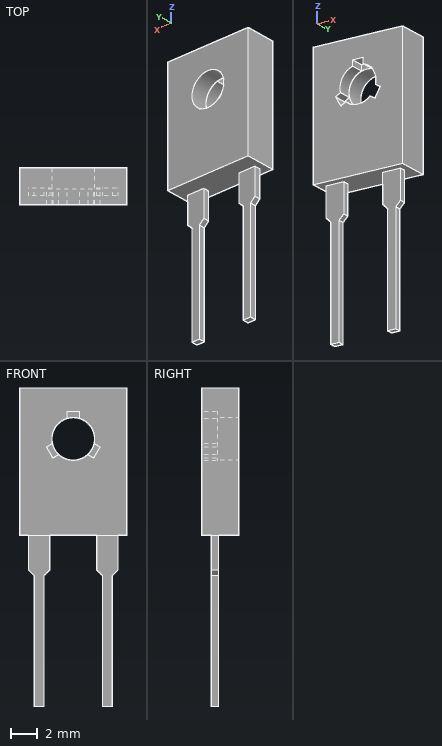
import cadquery as cq

BODY_WIDTH = 8.0
BODY_THICKNESS = 2.79
TOTAL_HEIGHT = 23.75
LEAD_LENGTH = 12.75
BODY_HEIGHT = TOTAL_HEIGHT - LEAD_LENGTH

HOLE_FROM_TOP = 3.8
HOLE_Z = BODY_HEIGHT - HOLE_FROM_TOP
FRONT_HOLE_DIAMETER = 3.2
REAR_HOLE_DIAMETER = 3.16
FRONT_DEPTH = 1.2

NOTCH_COUNT = 3
NOTCH_WIDTH = 0.95
NOTCH_REACH = 2.03

LEAD_PITCH = 5.08
LEAD_THICKNESS = 0.56
LEAD_FRONT_Y = 0.72
SHOULDER_WIDTH = 1.6
SHOULDER_LENGTH = 2.57
TAIL_WIDTH = 0.75
TAPER_LENGTH = (SHOULDER_WIDTH - TAIL_WIDTH) / 2


def make_body():
    return cq.Workplane("XY").box(
        BODY_WIDTH, BODY_THICKNESS, BODY_HEIGHT, centered=(True, False, False)
    )


def hole_cutter(diameter, depth):
    """Cylinder on the hole axis, running back from the front face."""
    axis_plane = cq.Workplane("XZ", origin=(0, 0, HOLE_Z))
    return axis_plane.circle(diameter / 2).extrude(-depth)


def notch_cutter(angle):
    """Radial block from the hole axis, turned from straight up by angle."""
    block = cq.Workplane("XY").box(
        NOTCH_WIDTH, FRONT_DEPTH, NOTCH_REACH, centered=(True, False, False)
    )
    return block.rotate((0, 0, 0), (0, 1, 0), angle).translate((0, 0, HOLE_Z))


def make_lead(center_x):
    """Flat lead hanging from the bottom face of the body."""
    shoulder_half = SHOULDER_WIDTH / 2
    tail_half = TAIL_WIDTH / 2
    taper_end_z = -SHOULDER_LENGTH - TAPER_LENGTH
    right_side = [
        (shoulder_half, 0),
        (shoulder_half, -SHOULDER_LENGTH),
        (tail_half, taper_end_z),
        (tail_half, -LEAD_LENGTH),
    ]
    left_side = [(-x, z) for x, z in reversed(right_side)]
    lead_plane = cq.Workplane("XZ", origin=(center_x, LEAD_FRONT_Y, 0))
    return lead_plane.polyline(right_side + left_side).close().extrude(-LEAD_THICKNESS)


result = make_body()
result = result.cut(hole_cutter(REAR_HOLE_DIAMETER, BODY_THICKNESS))
result = result.cut(hole_cutter(FRONT_HOLE_DIAMETER, FRONT_DEPTH))

for index in range(NOTCH_COUNT):
    result = result.cut(notch_cutter(index * 360 / NOTCH_COUNT))

for side in (-1, 1):
    result = result.union(make_lead(side * LEAD_PITCH / 2))